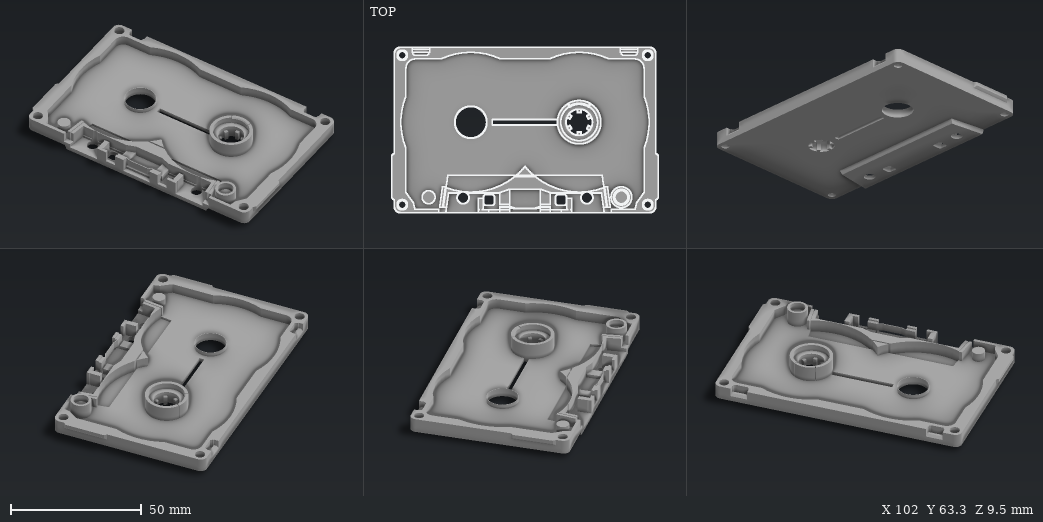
import cadquery as cq
import math

OVERALL_LENGTH = 102.0
SHELL_LENGTH = 100.1
SHELL_WIDTH = 63.3
SHELL_HEIGHT = 5.6
CORNER_RADIUS = 2.5
FLOOR = 1.5
FRONT = -SHELL_WIDTH / 2
BACK = SHELL_WIDTH / 2
ABOVE = 10.2

CAVITY_HALF_LENGTH = 45.5
CAVITY_BACK = 27.1
CAVITY_FRONT = -30.4
CAVITY_CORNER_RADIUS = 3.6
SCREW_BOSS_EDGE = [(CAVITY_HALF_LENGTH, -23.9), (44.4, -25.5), (42.6, -27.8), (42.0, CAVITY_FRONT)]
REEL_X = 20.7
REEL_Y = 3.0
REEL_SPACE_RADIUS = 26.7
REEL_HOLE_DIAMETER = 12.0
COLLAR_DIAMETER = 12.3
COLLAR_HEIGHT = 1.8
WINDOW_LENGTH = 24.9
WINDOW_WIDTH = 2.0

SCREW_X = 46.9
SCREW_Y = 28.6
SCREW_DIAMETER = 3.1
COUNTERBORE_DIAMETER = 4.0
COUNTERBORE_DEPTH = 4.1

GRIP_LENGTH = 18.0
GRIP_Y = -17.8
GRIP_DEPTH = 2.4
GRIP_PROJECTION = (OVERALL_LENGTH - SHELL_LENGTH) / 2
GRIP_DRAFT = 45.0

NOTCH_X = 39.8
NOTCH_WIDTH = 6.7
NOTCH_FRONT = 28.6
NOTCH_DEPTH = 2.5
NOTCH_RAMP = 0.9
TAB_SLOT_LENGTH = 6.1
TAB_SLOT_WIDTH = 1.1
TAB_SLOT_DEPTH = 1.0

BULGE_HEIGHT = 1.7
BULGE_DRAFT = 22.0
BULGE_BACK = -16.5
BULGE_MARGIN = 1.0

HEAD_BACK = -17.2
HEAD_HALF_WIDTH = 29.5
SIDE_SLOPE = 0.14
HEAD_RECESS_FLOOR = 0.5
HEAD_WALL_FRONT = -29.6
SIDE_WALL = 1.2
GAP_WIDTH = 0.6
GAP_HALF_LENGTH = 4.3
RIB_GAP = 0.3
RIB_WIDTH = 1.1
RIB_BACK = -21.6
FRONT_OPENING_HALF = 32.9
POCKET_BACK = -24.0
POCKET_CENTRE_BACK = -22.6
LEDGE_DEPTH = 0.25
LEDGE_HEIGHT = 1.0

POST_INNER = 5.9
SLOT_INNER = 9.7
SLOT_OUTER = 13.9
POST_OUTER = 18.0
POST_BACK = -30.5
GUIDE_WIDTH = 2.0
GUIDE_BACK = -26.1
GUIDE_CHAMFER = 0.4
PAD_BLOCK_HEIGHT = 2.4
PAD_BLOCK_FRONT = -28.5
STOP_HEIGHT = 5.1
STOP_BACK = -29.5
CAPSTAN_X = 23.7
CAPSTAN_Y = -25.9
CAPSTAN_DIAMETER = 4.5
LOCATOR_X = 13.8
LOCATOR_Y = -26.7
LOCATOR_SIZE = 4.1
LOCATOR_RADIUS = 0.9

ROTOR_TOP = 7.8

PIN_X = 36.8
PIN_Y = -25.7
PIN_DIAMETER = 5.0
PIN_TOP = 5.1
ROLLER_DIAMETER = 8.0
ROLLER_BORE = 6.0

HUB_DIAMETER = 16.6
HUB_RECESS_DIAMETER = 14.1
HUB_LEDGE = 5.1
HUB_BORE = 10.0
TOOTH_COUNT = 6
TOOTH_WIDTH = 1.4
TOOTH_TIP_RADIUS = 3.7
TOOTH_ROOT_RADIUS = 5.2
TOOTH_TOP = 3.6
CLAMP_INNER_RADIUS = 6.8
CLAMP_HALF_ANGLE = 30.0
CLAMP_GAP_ANGLE = 2.0
CLAMP_CHAMFER = 0.4

SPRING_THICKNESS = 0.3
SPRING_BOTTOM = 2.1
SPRING_TOP = 5.1
SPRING_BEND = 3.9
SPRING_BOW = 0.7


def block(x0, x1, y0, y1, z0, z1):
    """Box between two opposite corners."""
    return cq.Workplane("XY").box(x1 - x0, y1 - y0, z1 - z0, centered=False).translate((x0, y0, z0))


def disc(x, y, diameter, z0, z1):
    """Vertical cylinder."""
    return cq.Workplane("XY", origin=(x, y, z0)).circle(diameter / 2).extrude(z1 - z0)


def prism(points, z0, z1):
    """Vertical prism over a closed polygon."""
    return cq.Workplane("XY", origin=(0, 0, z0)).polyline(points).close().extrude(z1 - z0)


def both_sides(body):
    """A body on the +X side together with its mirror image."""
    return body.union(body.mirror("YZ"))


def side_x(y, offset=0.0):
    """Half-width of the head opening at a given Y, moved outwards by an offset."""
    return HEAD_HALF_WIDTH + SIDE_SLOPE * (HEAD_BACK - y) + offset


def trapezoid(y_front, y_back, offset=0.0):
    """Corners of a slice of the head opening."""
    front_x = side_x(y_front, offset)
    back_x = side_x(y_back, offset)
    return [(-front_x, y_front), (front_x, y_front), (back_x, y_back), (-back_x, y_back)]


def reel_spaces(z0):
    """The two round spaces swept by full reels of tape."""
    return both_sides(disc(REEL_X, REEL_Y, 2 * REEL_SPACE_RADIUS, z0, ABOVE))


def make_shell():
    """Rounded plate with the raised trapezoid below it."""
    plate = cq.Workplane("XY").rect(SHELL_LENGTH, SHELL_WIDTH).extrude(SHELL_HEIGHT)
    plate = plate.edges("|Z").fillet(CORNER_RADIUS)
    overhang = 2.0
    outline = trapezoid(FRONT - overhang, BULGE_BACK, BULGE_MARGIN)
    bulge = cq.Workplane("XY").polyline(outline).close().extrude(-BULGE_HEIGHT, taper=BULGE_DRAFT)
    half = SHELL_LENGTH / 2
    bulge = bulge.intersect(block(-half, half, FRONT, BACK, -BULGE_HEIGHT, 0))
    return plate.union(bulge)


def make_grips():
    """Tapered finger grips on both ends, level with the top of the shell."""
    grip = (
        cq.Workplane("YZ", origin=(SHELL_LENGTH / 2, GRIP_Y, SHELL_HEIGHT))
        .rect(GRIP_LENGTH, 2 * GRIP_DEPTH)
        .extrude(GRIP_PROJECTION, taper=GRIP_DRAFT)
    )
    grip = grip.cut(block(0, SHELL_LENGTH, FRONT, BACK, SHELL_HEIGHT, ABOVE))
    return both_sides(grip)


def make_cavity():
    """Tape space: a rectangle widened by the reels, less the bosses round the front screws."""
    half = CAVITY_HALF_LENGTH
    cavity = block(-half, half, CAVITY_FRONT, CAVITY_BACK, FLOOR, ABOVE)
    cavity = cavity.edges("|Z and >Y").fillet(CAVITY_CORNER_RADIUS)
    boss = prism(SCREW_BOSS_EDGE + [(half, CAVITY_FRONT)], FLOOR, ABOVE)
    cavity = cavity.cut(both_sides(boss)).union(reel_spaces(FLOOR))
    opening = block(-FRONT_OPENING_HALF, FRONT_OPENING_HALF, FRONT, CAVITY_FRONT, FLOOR, ABOVE)
    return cavity.union(opening)


def make_head_block():
    """Solid between the reel spaces that carries the head opening, with its two side ribs."""
    reel_cusp = REEL_Y - math.sqrt(REEL_SPACE_RADIUS**2 - REEL_X**2)
    body = prism(trapezoid(HEAD_WALL_FRONT, reel_cusp), 0, SHELL_HEIGHT).cut(reel_spaces(0))
    body = body.cut(
        block(-GAP_HALF_LENGTH, GAP_HALF_LENGTH, HEAD_BACK - GAP_WIDTH, HEAD_BACK, HEAD_RECESS_FLOOR, ABOVE)
    )
    inner = RIB_GAP
    outer = RIB_GAP + RIB_WIDTH
    rib = prism(
        [
            (side_x(HEAD_WALL_FRONT, inner), HEAD_WALL_FRONT),
            (side_x(HEAD_WALL_FRONT, outer), HEAD_WALL_FRONT),
            (side_x(RIB_BACK, outer), RIB_BACK),
            (side_x(RIB_BACK, inner), RIB_BACK),
        ],
        0,
        SHELL_HEIGHT,
    )
    return body.union(both_sides(rib))


def head_pocket(z0, z1, inset):
    """Open-fronted pocket for the tape heads, with its back wall moved forward by an inset."""
    back = POCKET_BACK - inset
    centre_back = POCKET_CENTRE_BACK - inset
    right = [
        (side_x(FRONT, -SIDE_WALL), FRONT),
        (side_x(back, -SIDE_WALL), back),
        (SLOT_INNER, back),
        (POST_INNER, centre_back),
    ]
    left = [(-x, y) for x, y in reversed(right)]
    return prism(right + left, z0, z1)


def make_head_guides():
    """Front posts, tape guides and spring stops inside the head pocket."""
    posts = block(POST_INNER, POST_OUTER, FRONT, POST_BACK, 0, SHELL_HEIGHT)
    posts = posts.cut(block(SLOT_INNER, SLOT_OUTER, FRONT, POST_BACK, LEDGE_HEIGHT, ABOVE))
    guide = block(POST_OUTER - GUIDE_WIDTH, POST_OUTER, POST_BACK, GUIDE_BACK, 0, SHELL_HEIGHT)
    guide = guide.edges("|Z and <Y").chamfer(GUIDE_CHAMFER)
    pad_block = block(POST_INNER, SLOT_INNER, PAD_BLOCK_FRONT, POCKET_BACK, 0, PAD_BLOCK_HEIGHT)
    wedge = prism(
        [(POST_INNER, POCKET_BACK), (SLOT_INNER, POCKET_BACK), (POST_INNER, POCKET_CENTRE_BACK)],
        0,
        PAD_BLOCK_HEIGHT,
    )
    spring_stop = block(POST_INNER, SLOT_INNER, POST_BACK, STOP_BACK, 0, STOP_HEIGHT)
    seat_front = STOP_BACK - SPRING_BOW + SPRING_THICKNESS
    pad_seat = block(0, POST_INNER, seat_front, POCKET_CENTRE_BACK, 0, LEDGE_HEIGHT)
    supports = pad_block.union(wedge).union(spring_stop).union(pad_seat)
    return both_sides(posts.union(guide).union(supports))


def make_floor_holes():
    """Reel holes, viewing window, capstan holes and locator holes through the floor."""
    bottom = -BULGE_HEIGHT
    reels = both_sides(disc(REEL_X, REEL_Y, REEL_HOLE_DIAMETER, bottom, ABOVE))
    window = cq.Workplane("XY", origin=(0, REEL_Y, 0)).rect(WINDOW_LENGTH, WINDOW_WIDTH).extrude(FLOOR)
    capstans = both_sides(disc(CAPSTAN_X, CAPSTAN_Y, CAPSTAN_DIAMETER, bottom, ABOVE))
    locator = (
        cq.Workplane("XY", origin=(LOCATOR_X, LOCATOR_Y, bottom))
        .rect(LOCATOR_SIZE, LOCATOR_SIZE)
        .extrude(ABOVE)
        .edges("|Z")
        .fillet(LOCATOR_RADIUS)
    )
    return reels.union(window).union(capstans).union(both_sides(locator))


def make_screw_holes():
    """Counterbored through hole in each corner."""
    holes = cq.Workplane("XY")
    for y in (-SCREW_Y, SCREW_Y):
        hole = disc(SCREW_X, y, SCREW_DIAMETER, 0, SHELL_HEIGHT)
        seat = disc(SCREW_X, y, COUNTERBORE_DIAMETER, SHELL_HEIGHT - COUNTERBORE_DEPTH, SHELL_HEIGHT)
        holes = holes.add(both_sides(hole.union(seat)))
    return holes.combine()


def make_notches():
    """Write-protect notches in the back edge: a slot, a low bar and a ramp down to the outside."""
    z0 = SHELL_HEIGHT - NOTCH_DEPTH
    ramp_top = BACK - NOTCH_RAMP
    slot_back = NOTCH_FRONT + TAB_SLOT_WIDTH
    notch = block(-NOTCH_WIDTH / 2, NOTCH_WIDTH / 2, slot_back, BACK, z0, ABOVE)
    slot = block(-TAB_SLOT_LENGTH / 2, TAB_SLOT_LENGTH / 2, NOTCH_FRONT, slot_back, z0 - TAB_SLOT_DEPTH, ABOVE)
    slot = slot.edges("|Z and <Y").chamfer(TAB_SLOT_WIDTH / 2)
    ramp = (
        cq.Workplane("YZ", origin=(-NOTCH_WIDTH / 2, 0, 0))
        .polyline([(ramp_top, z0), (BACK, z0), (BACK, z0 - NOTCH_RAMP)])
        .close()
        .extrude(NOTCH_WIDTH)
    )
    return both_sides(notch.union(slot).union(ramp).translate((NOTCH_X, 0, 0)))


def make_housing():
    """Half shell with all of its fixed features."""
    collar = disc(-REEL_X, REEL_Y, COLLAR_DIAMETER, 0, FLOOR + COLLAR_HEIGHT)
    pins = both_sides(disc(PIN_X, PIN_Y, PIN_DIAMETER, 0, PIN_TOP))
    housing = make_shell().union(make_grips()).cut(make_cavity())
    housing = housing.cut(prism(trapezoid(HEAD_WALL_FRONT, HEAD_BACK), HEAD_RECESS_FLOOR, ABOVE))
    housing = housing.union(make_head_block())
    housing = housing.cut(head_pocket(0, LEDGE_HEIGHT, LEDGE_DEPTH))
    housing = housing.cut(head_pocket(LEDGE_HEIGHT, ABOVE, 0))
    housing = housing.union(make_head_guides()).union(collar).union(pins)
    return housing.cut(make_floor_holes()).cut(make_screw_holes()).cut(make_notches())


def clamp_sector(half_angle):
    """Wedge of the hub rim centred on the +Y direction."""
    reach = HUB_DIAMETER
    spread = reach * math.tan(math.radians(half_angle))
    wedge = prism([(0, 0), (spread, reach), (-spread, reach)], FLOOR, ROTOR_TOP)
    return wedge.cut(disc(0, 0, 2 * CLAMP_INNER_RADIUS, FLOOR, ROTOR_TOP))


def make_clamp():
    """Ring sector that holds the tape end in the hub rim."""
    ring = disc(0, 0, HUB_DIAMETER, FLOOR, ROTOR_TOP).cut(disc(0, 0, 2 * CLAMP_INNER_RADIUS, FLOOR, ROTOR_TOP))
    ring = ring.faces(">Z").edges(cq.selectors.RadiusNthSelector(0)).chamfer(CLAMP_CHAMFER)
    return ring.intersect(clamp_sector(CLAMP_HALF_ANGLE)).translate((REEL_X, REEL_Y, 0))


def make_hub():
    """Toothed hub whose boss turns in the housing, notched for the tape clamp."""
    hub = disc(0, 0, HUB_DIAMETER, FLOOR, ROTOR_TOP).union(disc(0, 0, REEL_HOLE_DIAMETER, 0, FLOOR))
    hub = hub.cut(disc(0, 0, HUB_RECESS_DIAMETER, HUB_LEDGE, ROTOR_TOP))
    hub = hub.cut(disc(0, 0, HUB_BORE, 0, HUB_LEDGE))
    tooth = block(-TOOTH_WIDTH / 2, TOOTH_WIDTH / 2, TOOTH_TIP_RADIUS, TOOTH_ROOT_RADIUS, 0, TOOTH_TOP)
    for i in range(TOOTH_COUNT):
        hub = hub.union(tooth.rotate((0, 0, 0), (0, 0, 1), i * 360 / TOOTH_COUNT))
    hub = hub.cut(clamp_sector(CLAMP_HALF_ANGLE + CLAMP_GAP_ANGLE))
    return hub.translate((REEL_X, REEL_Y, 0))


def make_roller():
    """Plain guide roller standing loosely round the right-hand pin."""
    return disc(PIN_X, PIN_Y, ROLLER_DIAMETER, FLOOR, ROTOR_TOP).cut(
        disc(PIN_X, PIN_Y, ROLLER_BORE, FLOOR, ROTOR_TOP)
    )


def make_spring():
    """Bent strip resting behind the two stops and bowed forward between them."""
    front_line = [
        (-SLOT_INNER, STOP_BACK),
        (-POST_INNER, STOP_BACK),
        (-SPRING_BEND, STOP_BACK - SPRING_BOW),
        (SPRING_BEND, STOP_BACK - SPRING_BOW),
        (POST_INNER, STOP_BACK),
        (SLOT_INNER, STOP_BACK),
    ]
    back_line = [(x, y + SPRING_THICKNESS) for x, y in reversed(front_line)]
    return prism(front_line + back_line, SPRING_BOTTOM, SPRING_TOP)


housing = make_housing()
hub = make_hub()
clamp = make_clamp()
roller = make_roller()
spring = make_spring()

bodies = [housing, hub, clamp, roller, spring]
result = cq.Compound.makeCompound([body.solids().val() for body in bodies])